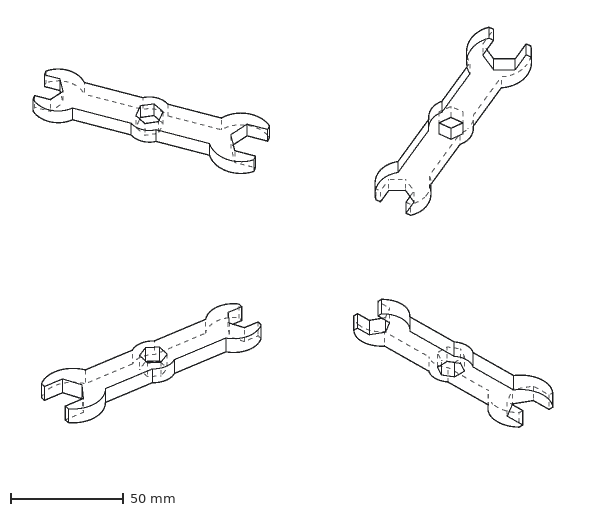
import cadquery as cq
import math

length = 104.6
thickness = 8.0
handle_width = 16.1

small_head_diameter = 25.0
small_head_inset = 8.8
small_jaw_width = 13.0
small_jaw_depth = 11.1

large_head_diameter = 29.0
large_head_inset = 9.7
large_jaw_width = 16.6
large_jaw_depth = 14.5

ring_x = 51.8
ring_diameter = 20.0
ring_hex_across_flats = 10.7


def hex_corner_diameter(across_flats):
    """Across-corners size of a regular hexagon."""
    return across_flats / math.cos(math.pi / 6)


def disc(x, diameter):
    """Full-thickness disc centred on the handle axis."""
    return cq.Workplane("XY").center(x, 0).circle(diameter / 2).extrude(thickness)


def jaw(mouth_x, inward, width, depth):
    """Parallel-sided mouth ending in two faces of a hexagon; inward is +1 or -1 along X."""
    tip_length = hex_corner_diameter(width) / 4
    tip_x = mouth_x + inward * depth
    corner_x = tip_x - inward * tip_length
    return (
        cq.Workplane("XY")
        .moveTo(mouth_x, -width / 2)
        .lineTo(corner_x, -width / 2)
        .lineTo(tip_x, 0)
        .lineTo(corner_x, width / 2)
        .lineTo(mouth_x, width / 2)
        .close()
        .extrude(thickness)
    )


large_head_x = length - large_head_inset
handle_length = large_head_x - small_head_inset
handle = (
    cq.Workplane("XY")
    .center(small_head_inset + handle_length / 2, 0)
    .rect(handle_length, handle_width)
    .extrude(thickness)
)
body = (
    handle.union(disc(small_head_inset, small_head_diameter))
    .union(disc(large_head_x, large_head_diameter))
    .union(disc(ring_x, ring_diameter))
)

end_limits = (
    cq.Workplane("XY")
    .center(length / 2, 0)
    .rect(length, large_head_diameter)
    .extrude(thickness)
)
body = body.intersect(end_limits)

body = body.cut(jaw(0, 1, small_jaw_width, small_jaw_depth))
body = body.cut(jaw(length, -1, large_jaw_width, large_jaw_depth))

ring_hex = (
    cq.Workplane("XY")
    .polygon(6, hex_corner_diameter(ring_hex_across_flats))
    .extrude(thickness)
    .rotate((0, 0, 0), (0, 0, 1), 90)
    .translate((ring_x, 0, 0))
)
result = body.cut(ring_hex)